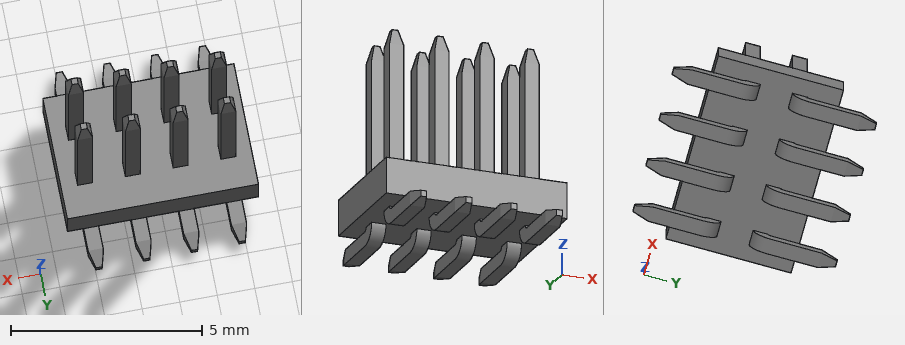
import cadquery as cq

BODY_LENGTH = 5.09
BODY_WIDTH = 3.4
BODY_HEIGHT = 1.0
OVERALL_WIDTH = 5.5
OVERALL_HEIGHT = 5.5
STANDOFF = 0.5

PINS_PER_ROW = 4
PITCH = 1.27

WIRE = 0.4
TIP_WIDTH = 0.165
TIP_LENGTH = 0.45

BEND_OUTER_RADIUS = STANDOFF
BEND_INNER_RADIUS = BEND_OUTER_RADIUS - WIRE


def make_body():
    """Plain rectangular housing raised above the board plane."""
    return (
        cq.Workplane("XY", origin=(0, 0, STANDOFF))
        .box(BODY_LENGTH, BODY_WIDTH, BODY_HEIGHT, centered=(True, True, False))
    )


def make_tip(origin, direction):
    """Square tapered point starting at origin and running along direction."""
    base = cq.Plane(origin=origin, xDir=(1, 0, 0), normal=direction)
    return (
        cq.Workplane(base)
        .rect(WIRE, WIRE)
        .workplane(offset=TIP_LENGTH)
        .rect(TIP_WIDTH, TIP_WIDTH)
        .loft(ruled=True)
    )


def make_pin():
    """Bent pin of the +Y row at X = 0: upright post, rounded bend, lead along +Y."""
    post_y = PITCH / 2
    post_near = post_y - WIRE / 2
    post_far = post_y + WIRE / 2
    bend_center_y = post_far + BEND_INNER_RADIUS
    post_end = OVERALL_HEIGHT - TIP_LENGTH
    lead_end = OVERALL_WIDTH / 2 - TIP_LENGTH

    diagonal = 0.5 ** 0.5
    outer_mid = (
        bend_center_y - BEND_OUTER_RADIUS * diagonal,
        STANDOFF - BEND_OUTER_RADIUS * diagonal,
    )
    inner_mid = (
        bend_center_y - BEND_INNER_RADIUS * diagonal,
        STANDOFF - BEND_INNER_RADIUS * diagonal,
    )

    shaft = (
        cq.Workplane("YZ")
        .moveTo(post_near, post_end)
        .lineTo(post_near, STANDOFF)
        .threePointArc(outer_mid, (bend_center_y, 0))
        .lineTo(lead_end, 0)
        .lineTo(lead_end, WIRE)
        .lineTo(bend_center_y, WIRE)
        .threePointArc(inner_mid, (post_far, STANDOFF))
        .lineTo(post_far, post_end)
        .close()
        .extrude(WIRE / 2, both=True)
    )
    post_tip = make_tip((0, post_y, post_end), (0, 0, 1))
    lead_tip = make_tip((0, lead_end, WIRE / 2), (0, 1, 0))
    return shaft.union(post_tip).union(lead_tip)


back_pin = make_pin()
front_pin = back_pin.mirror("XZ")

result = make_body()
for column in range(PINS_PER_ROW):
    pin_x = (column - (PINS_PER_ROW - 1) / 2) * PITCH
    for pin in (front_pin, back_pin):
        result = result.union(pin.translate((pin_x, 0, 0)))